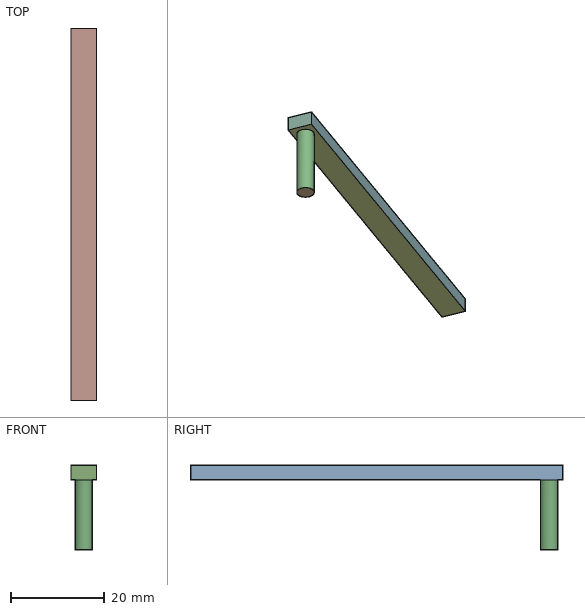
import cadquery as cq

bar_length = 80.0
bar_width = 5.5
bar_thickness = 3.2

overall_height = 18.2
pin_diameter = 3.8
pin_length = overall_height - bar_thickness
pin_end_distance = 3.0


def make_bar():
    """Rectangular bar along Y with its underside on Z = 0."""
    return cq.Workplane("XY").box(bar_width, bar_length, bar_thickness, centered=(True, True, False))


def make_pin():
    """Round pin running down from the underside of the bar."""
    pin_y = bar_length / 2 - pin_end_distance
    return cq.Workplane("XY").center(0, pin_y).circle(pin_diameter / 2).extrude(-pin_length)


result = make_bar().union(make_pin())